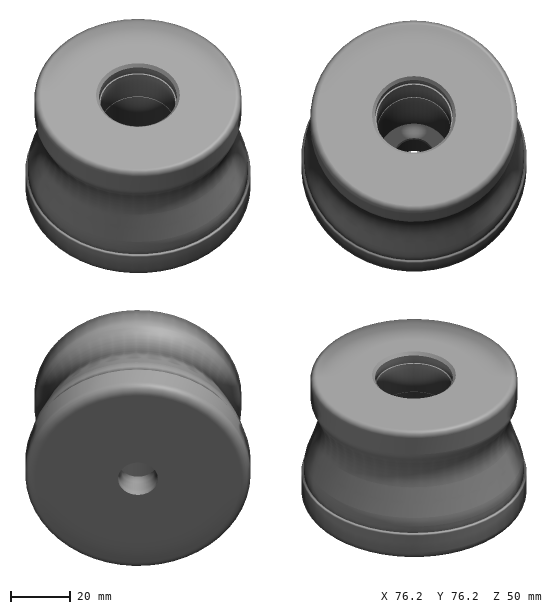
import cadquery as cq
import math

base_radius = 38.1
base_height = 10.8
base_bottom_fillet = 3.25
base_top_fillet = 0.5
base_hole_radius = 6.75
base_hole_chamfer = 0.4

total_height = 50.0
body_foot_radius = 37.2
foot_blend_radius = 10.0
cone_angle = math.radians(18.5)

waist_radius = 32.5
waist_height = 31.5
waist_arc_radius = 15.0

rim_radius = 35.0
rim_top_fillet = 2.0
shoulder_angle = math.radians(25)
shoulder_arc_radius = 5.0

mouth_radius = 13.15
mouth_depth = 4.0
mouth_chamfer = 1.0
middle_bore_radius = 12.65
middle_bore_depth = 15.4
lower_bore_radius = 12.45


def make_base():
    disc = cq.Workplane("XY").circle(base_radius).extrude(base_height)
    disc = disc.faces("<Z").edges().fillet(base_bottom_fillet)
    disc = disc.faces(">Z").edges().fillet(base_top_fillet)
    hole = cq.Workplane("XY").circle(base_hole_radius).extrude(base_height)
    disc = disc.cut(hole)
    hole_edge = cq.selectors.RadiusNthSelector(0)
    return disc.faces(">Z").edges(hole_edge).chamfer(base_hole_chamfer)


def arc_sagitta(radius, angle):
    """Radial change along an arc that turns by angle from the axis direction."""
    return radius * (1 - math.cos(angle))


def arc_rise(radius, angle):
    """Axial change along an arc that turns by angle from the axis direction."""
    return radius * math.sin(angle)


def make_body_blank():
    """Revolve the outline: every arc is tangent to the straight stretches beside it."""
    cone_top_r = waist_radius + arc_sagitta(waist_arc_radius, cone_angle)
    cone_top_z = waist_height - arc_rise(waist_arc_radius, cone_angle)
    cone_bottom_r = body_foot_radius - arc_sagitta(foot_blend_radius, cone_angle)
    cone_bottom_z = cone_top_z - (cone_bottom_r - cone_top_r) / math.tan(cone_angle)
    foot_top_z = cone_bottom_z - arc_rise(foot_blend_radius, cone_angle)
    foot_mid_r = body_foot_radius - arc_sagitta(foot_blend_radius, cone_angle / 2)
    foot_mid_z = foot_top_z + arc_rise(foot_blend_radius, cone_angle / 2)

    slope_bottom_r = waist_radius + arc_sagitta(waist_arc_radius, shoulder_angle)
    slope_bottom_z = waist_height + arc_rise(waist_arc_radius, shoulder_angle)
    slope_top_r = rim_radius - arc_sagitta(shoulder_arc_radius, shoulder_angle)
    slope_top_z = slope_bottom_z + (slope_top_r - slope_bottom_r) / math.tan(shoulder_angle)
    rim_bottom_z = slope_top_z + arc_rise(shoulder_arc_radius, shoulder_angle)
    shoulder_mid_r = rim_radius - arc_sagitta(shoulder_arc_radius, shoulder_angle / 2)
    shoulder_mid_z = rim_bottom_z - arc_rise(shoulder_arc_radius, shoulder_angle / 2)

    outline = (
        cq.Workplane("XZ")
        .moveTo(0, base_height)
        .lineTo(body_foot_radius, base_height)
        .lineTo(body_foot_radius, foot_top_z)
        .threePointArc((foot_mid_r, foot_mid_z), (cone_bottom_r, cone_bottom_z))
        .lineTo(cone_top_r, cone_top_z)
        .threePointArc((waist_radius, waist_height), (slope_bottom_r, slope_bottom_z))
        .lineTo(slope_top_r, slope_top_z)
        .threePointArc((shoulder_mid_r, shoulder_mid_z), (rim_radius, rim_bottom_z))
        .lineTo(rim_radius, total_height)
        .lineTo(0, total_height)
        .close()
    )
    blank = outline.revolve(360, (0, 0, 0), (0, 1, 0))
    return blank.faces(">Z").edges().fillet(rim_top_fillet)


def make_body():
    body = make_body_blank()
    bore_steps = [
        (mouth_radius, mouth_depth),
        (middle_bore_radius, middle_bore_depth),
        (lower_bore_radius, total_height - base_height),
    ]
    for radius, depth in bore_steps:
        bore = cq.Workplane("XY", origin=(0, 0, total_height)).circle(radius).extrude(-depth)
        body = body.cut(bore)
    mouth_edge = cq.selectors.RadiusNthSelector(0)
    return body.faces(">Z").edges(mouth_edge).chamfer(mouth_chamfer)


base = make_base()
body = make_body()

result = cq.Compound.makeCompound([base.val(), body.val()])